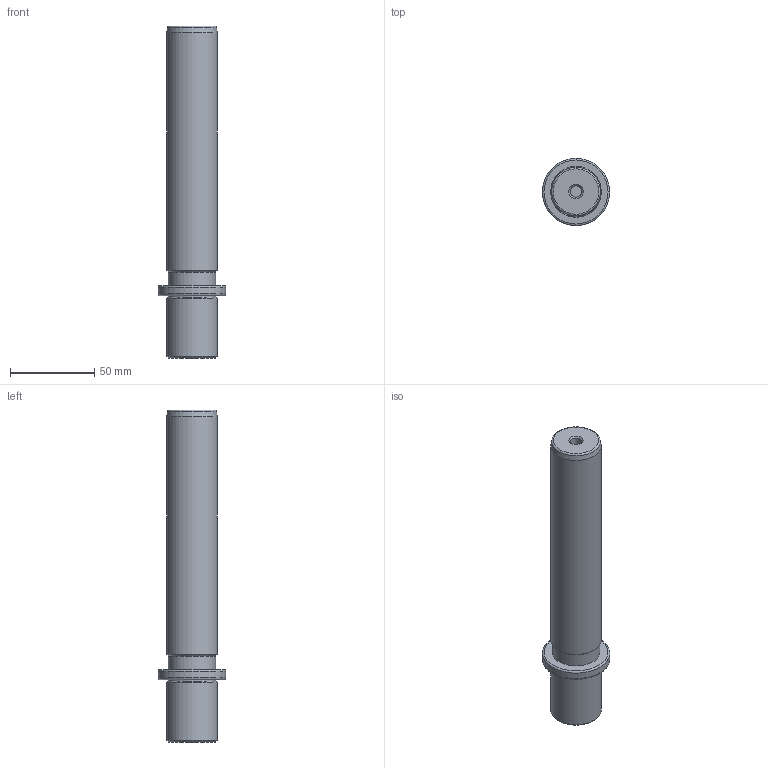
import math

import cadquery as cq

total_length = 197.0
pin_diameter = 30.0
neck_diameter = 28.0
flange_diameter = 40.0

shank_length = 36.0
shank_end_bevel = 1.0
shank_top_chamfer = 0.5

relief_height = 1.0
flange_thickness = 6.0
flange_round = 1.0

neck_height = 8.0
neck_bevel = 1.0

lead_diameter = 29.0
lead_length = 3.0
tip_round = 1.0

hole_diameter = 6.8
hole_mouth_diameter = 8.6
hole_depth = 20.0

pin_radius = pin_diameter / 2
neck_radius = neck_diameter / 2
flange_radius = flange_diameter / 2
lead_radius = lead_diameter / 2
hole_radius = hole_diameter / 2
mouth_radius = hole_mouth_diameter / 2
flange_bottom = shank_length + relief_height
flange_top = flange_bottom + flange_thickness
neck_top = flange_top + neck_height
lead_top = total_length - tip_round
lead_bottom = lead_top - lead_length
mouth_bottom = total_length - (mouth_radius - hole_radius)


def arc_point(center, radius, degrees):
    """Point at an angle on a corner round; center is (radius, Z)."""
    angle = math.radians(degrees)
    return (center[0] + radius * math.cos(angle), center[1] + radius * math.sin(angle))


def make_pin():
    """Revolve the half profile of the pin, given as (radius, Z), about the Z axis."""
    flange_lower_center = (flange_radius - flange_round, flange_bottom + flange_round)
    flange_upper_center = (flange_radius - flange_round, flange_top - flange_round)
    tip_center = (lead_radius - tip_round, lead_top)
    profile = (
        cq.Workplane("XZ")
        .moveTo(0, 0)
        .lineTo(neck_radius, 0)
        .lineTo(pin_radius, shank_end_bevel)
        .lineTo(pin_radius, shank_length - shank_top_chamfer)
        .lineTo(pin_radius - shank_top_chamfer, shank_length)
        .lineTo(neck_radius, shank_length)
        .lineTo(neck_radius, flange_bottom)
        .lineTo(flange_radius - flange_round, flange_bottom)
        .threePointArc(
            arc_point(flange_lower_center, flange_round, -45),
            (flange_radius, flange_bottom + flange_round),
        )
        .lineTo(flange_radius, flange_top - flange_round)
        .threePointArc(
            arc_point(flange_upper_center, flange_round, 45),
            (flange_radius - flange_round, flange_top),
        )
        .lineTo(neck_radius, flange_top)
        .lineTo(neck_radius, neck_top)
        .lineTo(pin_radius, neck_top + neck_bevel)
        .lineTo(pin_radius, lead_bottom)
        .lineTo(lead_radius, lead_top)
        .threePointArc(
            arc_point(tip_center, tip_round, 45),
            (lead_radius - tip_round, total_length),
        )
        .lineTo(mouth_radius, total_length)
        .lineTo(hole_radius, mouth_bottom)
        .lineTo(hole_radius, total_length - hole_depth)
        .lineTo(0, total_length - hole_depth)
        .close()
    )
    return profile.revolve(360, (0, 0), (0, 1))


result = make_pin()